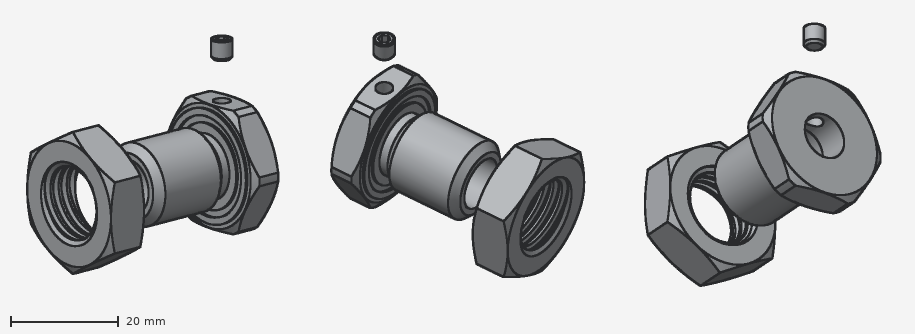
import cadquery as cq
import math


HEAD_FLATS = 24.1
HEAD_ROUND_D = 26.9
HEAD_HEIGHT = 6.4
HEAD_CHAMFER_R = 11.98
HEAD_CHAMFER_DEPTH = 0.9
SEAT_R = 11.1
SEAT_Y = 6.8
SEAT_GROOVE_OUTER_R = 9.7
SEAT_GROOVE_INNER_R = 8.35
NECK_R = 6.4
NECK_END_Y = 8.65
SHANK_R = 8.0
BOLT_LENGTH = 25.4
BORE_R = 4.5
SHANK_BORE_R = 5.1

SCREW_R = 2.02
SCREW_LENGTH = 3.95
SCREW_BASE_Z = 20.27
SCREW_Y = HEAD_HEIGHT / 2
SCREW_POINT_R = 1.55
SCREW_POINT_LENGTH = 0.55
SCREW_RIM_R = 1.7
SCREW_RIM_CHAMFER = 0.15
SOCKET_FLATS = 2.0
SOCKET_DEPTH = SCREW_LENGTH / 2
SCREW_HOLE_R = 1.65

NUT_FLATS = 24.0
NUT_END_Y = 40.45
NUT_HEIGHT = 8.1
NUT_AXIS_Z = -0.3
NUT_CHAMFER_R = 11.98
NUT_CHAMFER_DEPTH = 0.95
THREAD_MAJOR_R = SHANK_R
THREAD_MINOR_R = 7.05
THREAD_PITCH = 2.0
THREAD_ROOT = 0.25
THREAD_FLANK = 0.53
THREAD_START = 0.9
BORE_CHAMFER_DEPTH = 0.55
THREAD_LEAN = math.degrees(math.atan(THREAD_PITCH / (2 * THREAD_MAJOR_R)))


def corner_to_corner(flats):
    """Across-corners size of a hexagon from its size across flats."""
    return flats / math.cos(math.radians(30))


def turned(profile):
    """Solid of revolution about the Y axis from (radius, distance along -Y) points."""
    points = [(radius, -distance) for radius, distance in profile]
    return cq.Workplane("XY").polyline(points).close().revolve(360, (0, 0, 0), (0, 1, 0))


def chamfer_envelope(outer_r, face_r, depth, height):
    """Disc with conical edges that trims the corners of a hexagon on both faces."""
    return turned([
        (0, 0),
        (face_r, 0),
        (outer_r, depth),
        (outer_r, height - depth),
        (face_r, height),
        (0, height),
    ])


def make_bolt():
    head = cq.Workplane("XZ").polygon(6, corner_to_corner(HEAD_FLATS)).extrude(HEAD_HEIGHT)
    head = head.intersect(
        chamfer_envelope(HEAD_ROUND_D / 2, HEAD_CHAMFER_R, HEAD_CHAMFER_DEPTH, HEAD_HEIGHT)
    )

    shoulder = SHANK_R - NECK_R
    stem = turned([
        (0, 0),
        (SEAT_R, 0),
        (SEAT_R, SEAT_Y),
        (SEAT_GROOVE_OUTER_R, SEAT_Y),
        (SEAT_GROOVE_OUTER_R, HEAD_HEIGHT),
        (SEAT_GROOVE_INNER_R, HEAD_HEIGHT),
        (SEAT_GROOVE_INNER_R, SEAT_Y),
        (NECK_R, SEAT_Y),
        (NECK_R, NECK_END_Y),
        (SHANK_R, NECK_END_Y + shoulder),
        (SHANK_R, BOLT_LENGTH - shoulder),
        (NECK_R, BOLT_LENGTH),
        (0, BOLT_LENGTH),
    ])
    bore = turned([
        (0, 0),
        (BORE_R, 0),
        (BORE_R, SEAT_Y),
        (SHANK_BORE_R, SEAT_Y),
        (SHANK_BORE_R, BOLT_LENGTH),
        (0, BOLT_LENGTH),
    ])
    screw_hole = (
        cq.Workplane("XY").center(0, -SCREW_Y).circle(SCREW_HOLE_R).extrude(HEAD_FLATS / 2)
    )
    return head.union(stem).cut(bore).cut(screw_hole)


def make_set_screw():
    profile = [
        (0, 0),
        (SCREW_POINT_R, 0),
        (SCREW_R, SCREW_POINT_LENGTH),
        (SCREW_R, SCREW_LENGTH - SCREW_RIM_CHAMFER),
        (SCREW_RIM_R, SCREW_LENGTH),
        (0, SCREW_LENGTH),
    ]
    body = cq.Workplane("XZ").polyline(profile).close().revolve(360, (0, 0, 0), (0, 1, 0))
    socket = (
        cq.Workplane("XY")
        .workplane(offset=SCREW_LENGTH - SOCKET_DEPTH)
        .polygon(6, corner_to_corner(SOCKET_FLATS))
        .extrude(SOCKET_DEPTH)
    )
    return body.cut(socket).translate((0, -SCREW_Y, SCREW_BASE_Z))


def make_thread_ring(distance):
    """V-shaped ring, leaning about X, that cuts one turn of the nut thread."""
    half_root = THREAD_ROOT / 2
    half_mouth = half_root + THREAD_FLANK
    ring = turned([
        (0, -half_mouth),
        (THREAD_MINOR_R, -half_mouth),
        (THREAD_MAJOR_R, -half_root),
        (THREAD_MAJOR_R, half_root),
        (THREAD_MINOR_R, half_mouth),
        (0, half_mouth),
    ])
    return ring.rotate((0, 0, 0), (1, 0, 0), THREAD_LEAN).translate((0, -distance, 0))


def make_nut():
    corner_r = corner_to_corner(NUT_FLATS) / 2
    nut = (
        cq.Workplane("XZ")
        .polygon(6, 2 * corner_r)
        .extrude(NUT_HEIGHT)
        .rotate((0, 0, 0), (0, 1, 0), 30)
    )
    nut = nut.intersect(
        chamfer_envelope(corner_r, NUT_CHAMFER_R, NUT_CHAMFER_DEPTH, NUT_HEIGHT)
    )
    bore = turned([
        (0, 0),
        (THREAD_MAJOR_R, 0),
        (THREAD_MINOR_R, BORE_CHAMFER_DEPTH),
        (THREAD_MINOR_R, NUT_HEIGHT - BORE_CHAMFER_DEPTH),
        (THREAD_MAJOR_R, NUT_HEIGHT),
        (0, NUT_HEIGHT),
    ])
    nut = nut.cut(bore)
    turns = math.ceil(NUT_HEIGHT / THREAD_PITCH)
    for index in range(-1, turns):
        ring_depth = THREAD_START + index * THREAD_PITCH
        nut = nut.cut(make_thread_ring(NUT_HEIGHT - ring_depth))
    return nut.translate((0, NUT_HEIGHT - NUT_END_Y, NUT_AXIS_Z))


bolt = make_bolt()
set_screw = make_set_screw()
nut = make_nut()

result = cq.Compound.makeCompound([
    bolt.solids().val(),
    set_screw.solids().val(),
    nut.solids().val(),
])